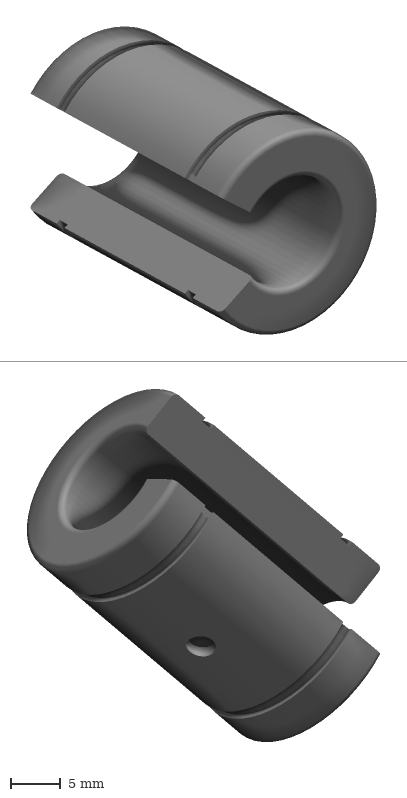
import cadquery as cq
import math

length = 32.0
outer_diameter = 22.0
bore_diameter = 12.0
edge_radius = 0.65

groove_diameter = 21.0
groove_width = 1.3
groove_end_distance = 4.7

opening_half_angle = 35.5

locating_hole_diameter = 3.0
locating_hole_depth = 1.28
locating_hole_tilt = 7.0

outer_radius = outer_diameter / 2


def tube(outer, inner, start, width):
    """Tube along X from start, with the given outer and inner diameters."""
    return (
        cq.Workplane("YZ", origin=(start, 0, 0))
        .circle(outer / 2)
        .circle(inner / 2)
        .extrude(width)
    )


body = tube(outer_diameter, bore_diameter, -length / 2, length)
body = body.faces("<X or >X").edges().fillet(edge_radius)

first_groove_start = -length / 2 + groove_end_distance
for groove_start in (first_groove_start, -first_groove_start - groove_width):
    body = body.cut(tube(outer_diameter, groove_diameter, groove_start, groove_width))

wedge_depth = 2 * outer_radius
wedge_half_height = wedge_depth * math.tan(math.radians(opening_half_angle))
opening = (
    cq.Workplane("YZ")
    .polyline([(0, 0), (-wedge_depth, wedge_half_height), (-wedge_depth, -wedge_half_height)])
    .close()
    .extrude(length / 2, both=True)
)

locating_hole = (
    cq.Workplane("XY", origin=(0, 0, -outer_radius - locating_hole_depth))
    .circle(locating_hole_diameter / 2)
    .extrude(2 * locating_hole_depth)
    .rotate((0, 0, 0), (1, 0, 0), locating_hole_tilt)
)

result = body.cut(opening).cut(locating_hole)